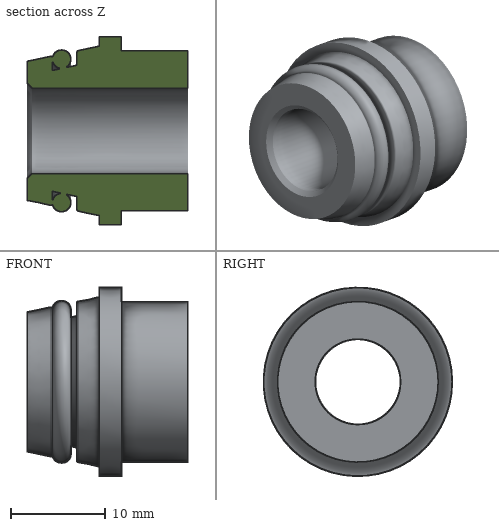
import cadquery as cq
import math

length = 17
groove_start = 2.7
groove_end = 5.25
flange_start = 7.6
flange_end = 10

nose_radius = 7.4
seat_radius = 9
flange_radius = 10
spigot_radius = 8.5
bore_radius = 4.5
groove_end_radius = 6.98

taper = math.tan(math.radians(12))
bore_chamfer = 0.5
lip_fillet = 0.2
groove_fillet = 0.1
ring_section_radius = 1
ring_outer_radius = 8.6
ring_center_x = 3.65


def revolve_about_x(profile):
    return profile.revolve(360, (0, 0, 0), (1, 0, 0))


nose_end_radius = nose_radius + groove_start * taper
groove_start_radius = groove_end_radius - (groove_end - groove_start) * taper
seat_start_radius = seat_radius - (flange_start - groove_end) * taper
body = revolve_about_x(
    cq.Workplane("XY").polyline([
        (0, bore_radius + bore_chamfer),
        (0, nose_radius),
        (groove_start, nose_end_radius),
        (groove_start, groove_start_radius),
        (groove_end, groove_end_radius),
        (groove_end, seat_start_radius),
        (flange_start, seat_radius),
        (flange_start, flange_radius),
        (flange_end, flange_radius),
        (flange_end, spigot_radius),
        (length, spigot_radius),
        (length, bore_radius),
        (bore_chamfer, bore_radius),
    ]).close()
)

rounded_corners = [
    (groove_start, nose_end_radius, lip_fillet),
    (groove_end, seat_start_radius, lip_fillet),
    (groove_end, groove_end_radius, groove_fillet),
]
tolerance = 0.002
for x, radius, fillet_radius in rounded_corners:
    corner = body.edges("%CIRCLE").filter(
        lambda edge: abs(edge.Center().x - x) < tolerance
        and abs(edge.radius() - radius) < tolerance
    )
    body = corner.fillet(fillet_radius)

ring_center_radius = ring_outer_radius - ring_section_radius
ring = revolve_about_x(
    cq.Workplane("XY")
    .moveTo(ring_center_x, ring_center_radius)
    .circle(ring_section_radius)
)

result = body.union(ring)